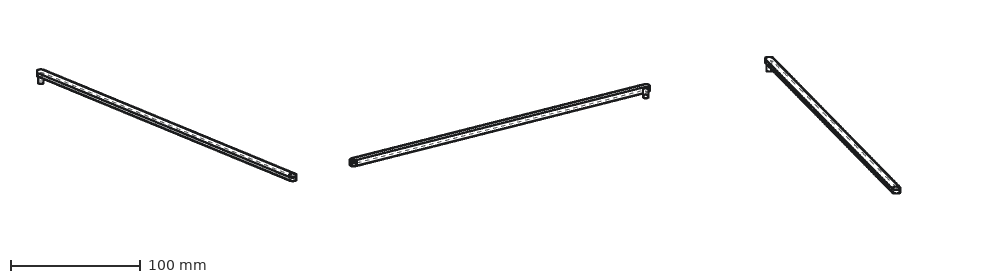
import cadquery as cq

hole_spacing = 240.0
bar_width = 6.35
bar_thickness = bar_width / 2
pin_diameter = 4.35
pin_length = 7.0
hole_diameter = 5.35


def make_bar():
    """Flat bar with fully rounded ends, pin axis at the origin, underside at Z = 0."""
    return (
        cq.Workplane("XY")
        .center(hole_spacing / 2, 0)
        .slot2D(hole_spacing + bar_width, bar_width)
        .extrude(bar_thickness)
    )


def make_pin():
    """Round pin hanging below the bar."""
    return cq.Workplane("XY").circle(pin_diameter / 2).extrude(-pin_length)


def make_hole():
    """Cutter for the through hole at the far end of the bar."""
    return (
        cq.Workplane("XY")
        .center(hole_spacing, 0)
        .circle(hole_diameter / 2)
        .extrude(bar_thickness)
    )


result = make_bar().union(make_pin()).cut(make_hole())